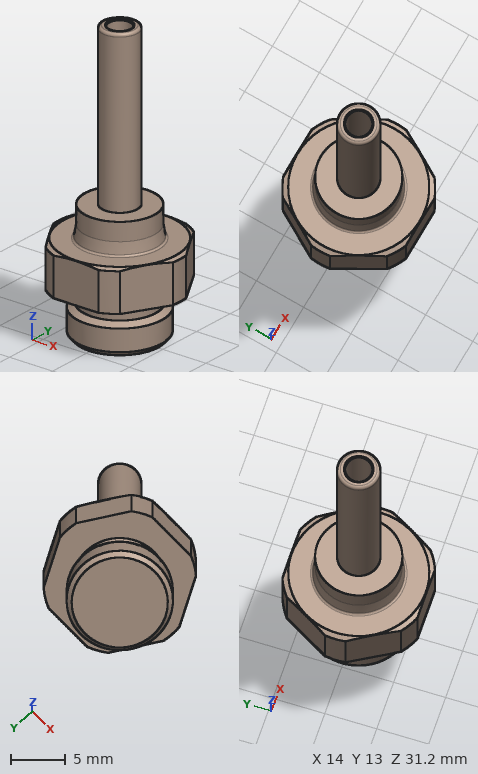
import cadquery as cq
import math

total_height = 31.2
bottom_chamfer_top = 0.53
plug_top = 2.9
neck_bottom = 3.37
neck_top = 4.87
hex_bottom = 5.35
hex_top = 9.83
cone_bottom = 10.0
cone_top = 11.23
collar_top = 13.23

plug_radius = 4.87
plug_end_radius = 4.4
neck_radius = 4.12
hex_underside_radius = 4.3
collar_foot_radius = 4.5
cone_base_radius = 4.2
collar_radius = 4.0
tube_radius = 2.0

hex_across_flats = 13.0
hex_corner_diameter = 14.0
hex_top_radius = 6.45
hex_chamfer_angle = 20.0

tip_round = 0.3
bore_radius = 1.25
bore_chamfer = 0.1
bore_depth = total_height - collar_top


def make_turned_body():
    """Revolve the plug, neck, collar and tube about the Z axis."""
    foot_fillet_mid = (
        collar_foot_radius - (collar_foot_radius - cone_base_radius) * math.sin(math.pi / 4),
        cone_bottom - (cone_bottom - hex_top) * math.sin(math.pi / 4),
    )
    profile = (
        cq.Workplane("XZ")
        .lineTo(plug_end_radius, 0)
        .lineTo(plug_radius, bottom_chamfer_top)
        .lineTo(plug_radius, plug_top)
        .lineTo(neck_radius, neck_bottom)
        .lineTo(neck_radius, neck_top)
        .lineTo(hex_underside_radius, hex_bottom)
        .lineTo(collar_foot_radius, hex_top)
        .threePointArc(foot_fillet_mid, (cone_base_radius, cone_bottom))
        .lineTo(collar_radius, cone_top)
        .lineTo(collar_radius, collar_top)
        .lineTo(tube_radius, collar_top)
        .lineTo(tube_radius, total_height)
        .lineTo(0, total_height)
        .close()
    )
    return profile.revolve(360, (0, 0, 0), (0, 1, 0)).faces(">Z").edges().fillet(tip_round)


def make_hexagon():
    """Hexagon with flats facing +Y and -Y, trimmed by a turned, chamfered blank."""
    corner_radius = hex_corner_diameter / 2
    chamfer_drop = (corner_radius - hex_top_radius) * math.tan(math.radians(hex_chamfer_angle))
    prism = (
        cq.Workplane("XY", origin=(0, 0, hex_bottom))
        .polygon(6, hex_across_flats / math.cos(math.pi / 6))
        .extrude(hex_top - hex_bottom)
    )
    blank = (
        cq.Workplane("XZ")
        .moveTo(0, hex_bottom)
        .lineTo(corner_radius, hex_bottom)
        .lineTo(corner_radius, hex_top - chamfer_drop)
        .lineTo(hex_top_radius, hex_top)
        .lineTo(0, hex_top)
        .close()
        .revolve(360, (0, 0, 0), (0, 1, 0))
    )
    return prism.intersect(blank)


body = make_turned_body().union(make_hexagon())
bored = body.faces(">Z").workplane(origin=(0, 0, total_height)).hole(2 * bore_radius, bore_depth)
result = bored.faces(">Z").edges(cq.selectors.RadiusNthSelector(0)).chamfer(bore_chamfer)